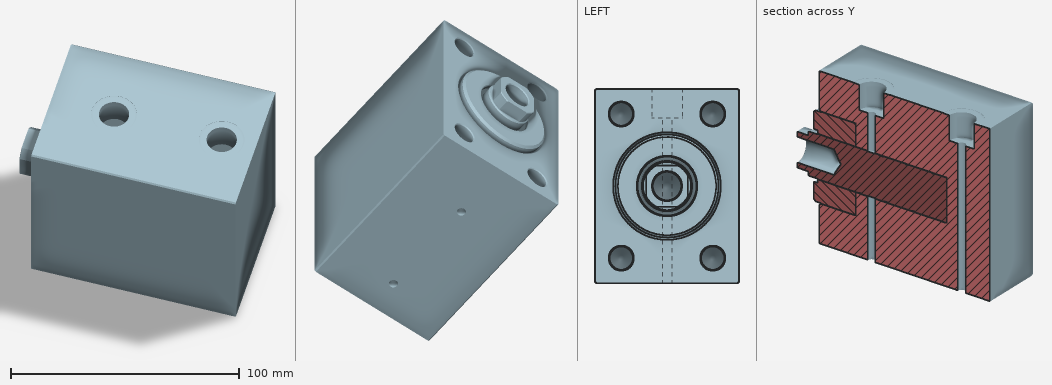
import cadquery as cq
import math

TOTAL_LENGTH = 105.0
ROD_REACH = 12.0
BLOCK_LENGTH = TOTAL_LENGTH - ROD_REACH
BLOCK_WIDTH = 63.0
BLOCK_HEIGHT = 85.0
BLOCK_EDGE_CHAMFER = 0.6

MOUNT_HOLE_DIAMETER = 10.2
MOUNT_HOLE_DEPTH = 25.2
MOUNT_HOLE_CHAMFER = 0.4
MOUNT_SPACING_Y = 40.0
MOUNT_SPACING_Z = 63.0
DRILL_POINT_ANGLE = 118.0

PORT_POSITIONS_X = (28.6, 77.6)
PORT_DIAMETER = 13.2
PORT_DEPTH = 12.6
SPOTFACE_DIAMETER = 20.0
SPOTFACE_DEPTH = 0.1
DUCT_DIAMETER = 4.0

GLAND_DIAMETER = 45.0
GLAND_REACH = 2.9
GLAND_INSERTION = 20.0
GLAND_CHAMFER = 1.0
GLAND_SEAT_CHAMFER = 1.0
GLAND_GAP_DIAMETER = 25.7
GLAND_GAP_DEPTH = 2.1
GLAND_GAP_CHAMFER = 0.4

ROD_DIAMETER = 22.0
ROD_CHAMFER = 0.5
ROD_INSERTION = 69.3
STUB_DIAMETER = 21.0
STUB_LENGTH = 6.0
STUB_ACROSS_FLATS = 18.0
STUB_CHAMFER = 0.3
ROD_HOLE_DIAMETER = 12.4
ROD_HOLE_DEPTH = 20.0
ROD_HOLE_CHAMFER = 0.4


def cylinder_x(start, length, diameter):
    """Cylinder on the rod axis, from X = start towards +X."""
    return cq.Workplane("YZ").workplane(offset=start).circle(diameter / 2).extrude(length)


def cylinder_down(x, depth, diameter):
    """Cylinder running down from the block's top face at the given X."""
    return (
        cq.Workplane("XY", origin=(x, 0, BLOCK_HEIGHT / 2))
        .circle(diameter / 2)
        .extrude(-depth)
    )


def countersink_x(start, diameter, chamfer):
    """45 degree cone that chamfers the mouth of a hole starting at X = start."""
    radius = diameter / 2
    outline = [(start, 0), (start, radius + chamfer), (start + chamfer, radius), (start + chamfer, 0)]
    return cq.Workplane("XY").polyline(outline).close().revolve(360, (0, 0), (1, 0))


def drilled_hole_x(start, depth, diameter, chamfer):
    """Blind hole along +X with a chamfered mouth and a drill point at the bottom."""
    radius = diameter / 2
    point_length = radius / math.tan(math.radians(DRILL_POINT_ANGLE / 2))
    outline = [
        (start, 0),
        (start, radius + chamfer),
        (start + chamfer, radius),
        (start + depth, radius),
        (start + depth + point_length, 0),
    ]
    return cq.Workplane("XY").polyline(outline).close().revolve(360, (0, 0), (1, 0))


def make_block():
    block = (
        cq.Workplane("XY")
        .box(BLOCK_LENGTH, BLOCK_WIDTH, BLOCK_HEIGHT)
        .translate((BLOCK_LENGTH / 2, 0, 0))
        .edges("|X")
        .chamfer(BLOCK_EDGE_CHAMFER)
    )

    block = block.cut(cylinder_x(0, GLAND_INSERTION, GLAND_DIAMETER))
    block = block.cut(countersink_x(0, GLAND_DIAMETER, GLAND_SEAT_CHAMFER))
    block = block.cut(cylinder_x(0, ROD_INSERTION, ROD_DIAMETER))

    mount_hole = drilled_hole_x(0, MOUNT_HOLE_DEPTH, MOUNT_HOLE_DIAMETER, MOUNT_HOLE_CHAMFER)
    for side_y in (-1, 1):
        for side_z in (-1, 1):
            place = (0, side_y * MOUNT_SPACING_Y / 2, side_z * MOUNT_SPACING_Z / 2)
            block = block.cut(mount_hole.translate(place))

    for x in PORT_POSITIONS_X:
        block = block.cut(cylinder_down(x, SPOTFACE_DEPTH, SPOTFACE_DIAMETER))
        block = block.cut(cylinder_down(x, PORT_DEPTH, PORT_DIAMETER))
        block = block.cut(cylinder_down(x, BLOCK_HEIGHT, DUCT_DIAMETER))
    return block


def make_gland():
    length = GLAND_REACH + GLAND_INSERTION
    gland = cylinder_x(-GLAND_REACH, length, GLAND_DIAMETER).faces("<X").edges().chamfer(GLAND_CHAMFER)

    gland = gland.cut(cylinder_x(-GLAND_REACH, length, ROD_DIAMETER))
    gland = gland.cut(cylinder_x(-GLAND_REACH, GLAND_GAP_DEPTH, GLAND_GAP_DIAMETER))
    return gland.cut(countersink_x(-GLAND_REACH, GLAND_GAP_DIAMETER, GLAND_GAP_CHAMFER))


def make_rod():
    shoulder_x = STUB_LENGTH - ROD_REACH
    shaft = cylinder_x(shoulder_x, ROD_INSERTION - shoulder_x, ROD_DIAMETER)
    shaft = shaft.faces("<X").edges().chamfer(ROD_CHAMFER)

    stub = cylinder_x(-ROD_REACH, STUB_LENGTH, STUB_DIAMETER).faces("<X").edges().chamfer(STUB_CHAMFER)
    square = (
        cq.Workplane("YZ")
        .workplane(offset=-ROD_REACH)
        .rect(STUB_ACROSS_FLATS, STUB_ACROSS_FLATS)
        .extrude(STUB_LENGTH)
    )
    rod = shaft.union(stub.intersect(square))
    return rod.cut(drilled_hole_x(-ROD_REACH, ROD_HOLE_DEPTH, ROD_HOLE_DIAMETER, ROD_HOLE_CHAMFER))


block = make_block()
gland = make_gland()
rod = make_rod()

result = cq.Compound.makeCompound([body.solids().val() for body in (block, gland, rod)])